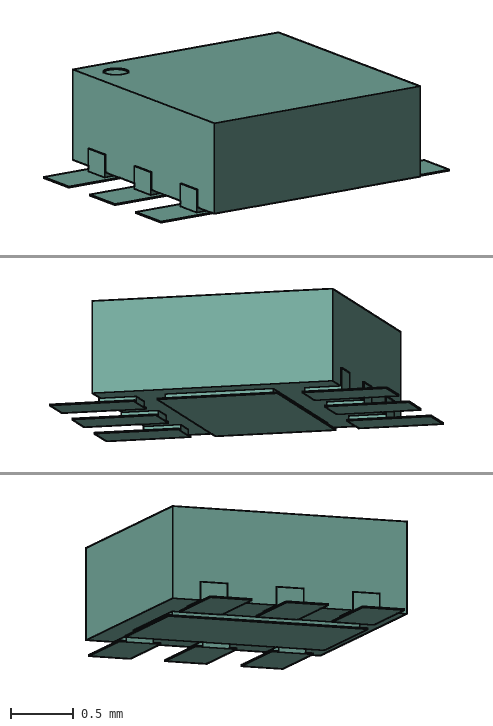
import cadquery as cq

overall_length = 2.8
overall_height = 0.8
body_side = 2.0
standoff = 0.05
sheet = 0.01

terminal_pitch = 0.65
terminal_width = 0.23
terminal_top = 0.2
terminal_reach = 0.3
land_width = 0.355

pad_size_x = 1.6
pad_size_y = 0.9
pad_land_margin = 0.05

mark_radius = 0.1
mark_inset = 0.25
mark_depth = 0.01

half_body = body_side / 2


def block(x_center, width, y_start, y_end, z_start, z_end):
    """Box centred on x_center that fills the given Y and Z ranges."""
    return (
        cq.Workplane("XY")
        .box(width, y_end - y_start, z_end - z_start, centered=(True, False, False))
        .translate((x_center, y_start, z_start))
    )


def make_body():
    body = block(0, body_side, -half_body, half_body, standoff, overall_height)
    mark_position = mark_inset - half_body
    mark = (
        cq.Workplane("XY")
        .workplane(offset=overall_height - mark_depth)
        .center(mark_position, mark_position)
        .circle(mark_radius)
        .extrude(mark_depth)
    )
    return body.cut(mark)


def make_terminal(x_center):
    """Terminal on the -Y side: flat land, foot under the body and wall up its side."""
    inner_y = terminal_reach - half_body
    outer_y = -half_body - sheet
    land = block(x_center, land_width, -overall_length / 2, inner_y, 0, sheet)
    foot = block(x_center, terminal_width, outer_y, inner_y, sheet, standoff)
    wall = block(x_center, terminal_width, outer_y, -half_body, sheet, terminal_top)
    return land.union(foot).union(wall)


def make_center_pad():
    half_pad = pad_size_y / 2
    half_land = half_pad + pad_land_margin
    land = block(0, pad_size_x + 2 * pad_land_margin, -half_land, half_land, 0, sheet)
    pad = block(0, pad_size_x, -half_pad, half_pad, sheet, standoff)
    return land.union(pad)


result = make_body().union(make_center_pad())
for column in (-1, 0, 1):
    terminal = make_terminal(column * terminal_pitch)
    result = result.union(terminal).union(terminal.mirror("XZ"))